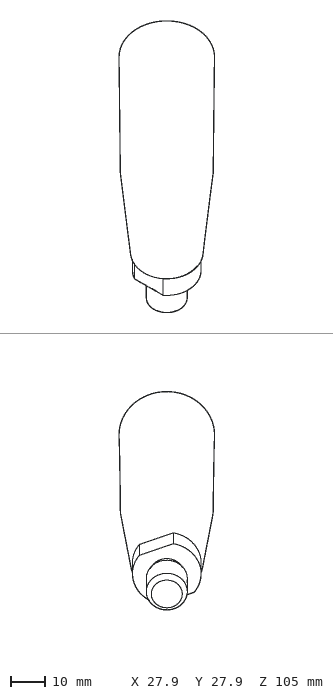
import cadquery as cq
import math

total_length = 105.0

thread_diameter = 12.0
thread_chamfer = 1.5
neck_diameter = 10.0
collar_diameter = 20.1
flats_width = 17.0
thread_top = 10.0
collar_bottom = 13.0
grip_bottom = 20.1

grip_top_diameter = 27.9
grip_waist_diameter = 27.2
grip_bottom_diameter = 21.3
waist_height = 55.0
top_round = 2.0
bottom_round = 1.0


def rounded_corner(radius):
    """Offset of a quarter-circle's midpoint from the sharp corner, along each side."""
    return radius * (1 - math.sqrt(0.5))


def make_spindle():
    """Turned spindle along Z, standing on its chamfered thread end."""
    thread_radius = thread_diameter / 2
    neck_radius = neck_diameter / 2
    collar_radius = collar_diameter / 2
    turned = (
        cq.Workplane("XZ")
        .moveTo(0, 0)
        .lineTo(thread_radius - thread_chamfer, 0)
        .lineTo(thread_radius, thread_chamfer)
        .lineTo(thread_radius, thread_top)
        .lineTo(neck_radius, thread_top)
        .lineTo(neck_radius, collar_bottom)
        .lineTo(collar_radius, collar_bottom)
        .lineTo(collar_radius, grip_bottom)
        .lineTo(0, grip_bottom)
        .close()
        .revolve(360, (0, 0, 0), (0, 1, 0))
    )
    between_flats = cq.Workplane("XY").box(
        collar_diameter, flats_width, grip_bottom, centered=(True, True, False)
    )
    return turned.intersect(between_flats)


def make_grip():
    """Turned grip that rests on the collar, with both rims rounded."""
    top_radius = grip_top_diameter / 2
    waist_radius = grip_waist_diameter / 2
    bottom_radius = grip_bottom_diameter / 2
    top_inset = rounded_corner(top_round)
    bottom_inset = rounded_corner(bottom_round)
    return (
        cq.Workplane("XZ")
        .moveTo(0, grip_bottom)
        .lineTo(bottom_radius - bottom_round, grip_bottom)
        .threePointArc(
            (bottom_radius - bottom_inset, grip_bottom + bottom_inset),
            (bottom_radius, grip_bottom + bottom_round),
        )
        .lineTo(waist_radius, waist_height)
        .lineTo(top_radius, total_length - top_round)
        .threePointArc(
            (top_radius - top_inset, total_length - top_inset),
            (top_radius - top_round, total_length),
        )
        .lineTo(0, total_length)
        .close()
        .revolve(360, (0, 0, 0), (0, 1, 0))
    )


spindle = make_spindle()
grip = make_grip()

result = cq.Compound.makeCompound([spindle.val(), grip.val()])